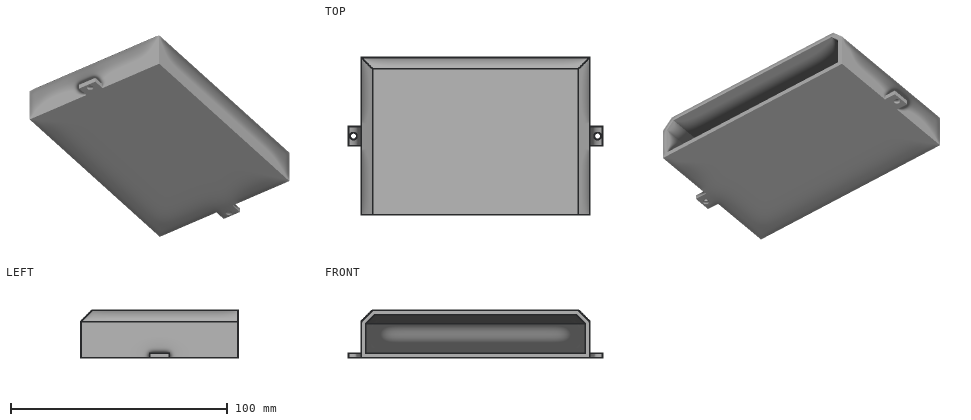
import cadquery as cq
import math

overall_length = 117.3
tab_length = 5.9
body_length = overall_length - 2 * tab_length
body_depth = 72.6
body_height = 22.0
bevel = 5.3
wall = 2.2

tab_thickness = wall
tab_width = 9.0
hole_diameter = 3.0
hole_offset = 3.5

inner_bevel = bevel - wall * (2 - math.sqrt(2))


def beveled_block(length, depth, height, leg):
    """Block on the XY plane with its left, right and back top edges beveled."""
    block = cq.Workplane("XY").box(length, depth, height, centered=(True, True, False))
    return block.faces(">Z").edges("|Y or >Y").chamfer(leg)


def mounting_tab(side):
    """Drilled tab on the left (side = -1) or right (side = 1) wall, rooted through that wall."""
    wall_x = side * body_length / 2
    tab = (
        cq.Workplane("XY")
        .center(wall_x + side * (tab_length - wall) / 2, 0)
        .box(tab_length + wall, tab_width, tab_thickness, centered=(True, True, False))
    )
    hole = (
        cq.Workplane("XY")
        .center(wall_x + side * hole_offset, 0)
        .circle(hole_diameter / 2)
        .extrude(tab_thickness)
    )
    return tab.cut(hole)


body = beveled_block(body_length, body_depth, body_height, bevel)
cavity = beveled_block(
    body_length - 2 * wall, body_depth, body_height - 2 * wall, inner_bevel
).translate((0, -wall, wall))
result = body.cut(cavity)

for side in (-1, 1):
    result = result.union(mounting_tab(side))